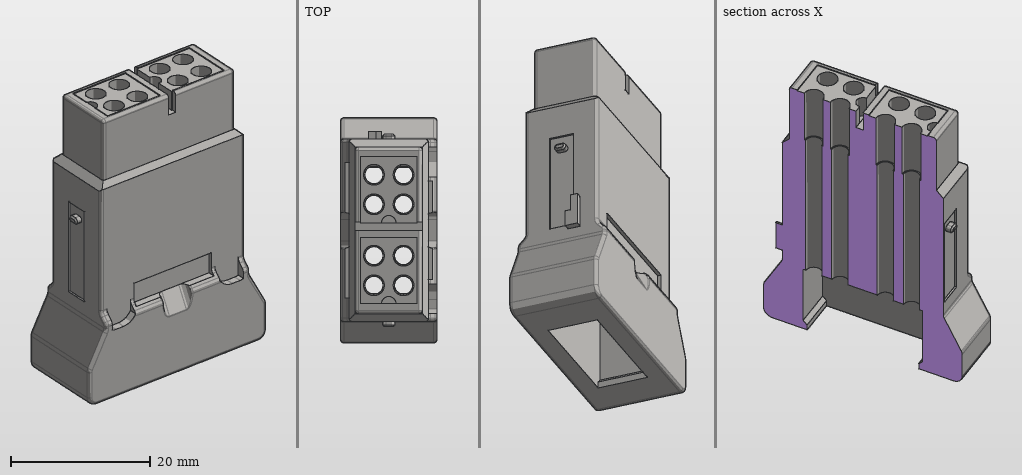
import cadquery as cq
import math

total_height = 45.3
base_x, base_y = 13.9, 32.4
body_x, body_y = 11.4, 26.27
plug_x, plug_y = 9.7, 24.0
plug_bottom = 35.4
shoulder_bottom = 12.7
shoulder_top = shoulder_bottom + (base_x - body_x) / 2
flare_bottom = 6.02
flare_top = 11.7

edge_radius = 0.5
shoulder_foot_radius = 1.0
shoulder_root_radius = 1.15
flare_radius = 1.25
base_corner_radius = 1.5

group_spacing = 11.65
group_center_y = 0.05
hole_pitch = 4.25
hole_diameter = 3.0
hole_depth = 9.05
bore_diameter = 2.6
inset_x, inset_y, inset_depth = 8.1, 9.55, 0.15
notch_radius, notch_depth = 1.05, 3.62
slot_width, slot_depth, slot_overlap = 1.25, 3.25, 0.15

cable_x = 7.7
cable_lip_half, cable_half = 9.05, 9.7
cable_lip_height = 1.0
cable_top = 11.32

window_bottom, window_top = 13.3, 16.9
window_depth = 0.55
window_floor_x = body_x / 2 - window_depth
left_window_y, right_window_y = 19.5, 14.15
scoop_exit_z = 9.95
scoop_half_width = 2.55
scoop_corner_radius = 1.0
scoop_lip_radius = 0.23
groove_inner_y, groove_outer_y = 7.7, 11.95
groove_floor_z = 11.32
groove_inner_radius, groove_outer_radius = 5.1 / 2, 3.7 / 2
groove_floor_start, groove_floor_end = 9.9, 11.32

recess_x, recess_bottom, recess_top, recess_depth = 3.7, 14.22, 29.2, 0.3
pin_length, pin_height, pin_z = 1.75, 1.05, 27.2
pin_tip_y = 13.85
pin_edge = 0.25

key_left, key_step, key_right = -2.95, -1.85, -1.05
key_bottom, key_top, key_tip_y = 13.6, 18.5, 14.2

match_tolerance = 0.05


def box(x0, x1, y0, y1, z0, z1):
    return cq.Workplane("XY").box(x1 - x0, y1 - y0, z1 - z0, centered=False).translate((x0, y0, z0))


def mirrored_outline(plane, half_points):
    """Closed face outline from one side's points, mirrored about the Z axis."""
    mirrored = [(-u, v) for u, v in reversed(half_points)]
    return cq.Workplane(plane).polyline(half_points + mirrored).close()


def round_corners(prism, axis, half_width, height, radius):
    """Round the mirrored pair of prism edges parallel to axis at +-half_width and the given height."""
    along_y = axis == "Y"

    def is_corner(edge):
        center = edge.Center()
        side = abs(center.x if along_y else center.y)
        return math.hypot(side - half_width, center.z - height) < match_tolerance

    return prism.newObject([e for e in prism.edges().vals() if is_corner(e)]).fillet(radius)


def make_housing():
    broad = mirrored_outline("YZ", [
        (base_y / 2, 0),
        (base_y / 2, flare_bottom),
        (body_y / 2, flare_top),
        (body_y / 2, plug_bottom),
    ]).extrude(base_x / 2, both=True)
    broad = round_corners(broad, "X", base_y / 2, 0, base_corner_radius)
    broad = round_corners(broad, "X", base_y / 2, flare_bottom, flare_radius)
    broad = round_corners(broad, "X", body_y / 2, flare_top, flare_radius)

    narrow = mirrored_outline("XZ", [
        (base_x / 2, 0),
        (base_x / 2, shoulder_bottom),
        (body_x / 2, shoulder_top),
        (body_x / 2, plug_bottom),
    ]).extrude(base_y / 2, both=True)
    narrow = round_corners(narrow, "Y", base_x / 2, shoulder_bottom, shoulder_foot_radius)
    narrow = round_corners(narrow, "Y", body_x / 2, shoulder_top, shoulder_root_radius)
    housing = broad.intersect(narrow)

    def is_rim(edge):
        center = edge.Center()
        on_broad_face = abs(center.x) > match_tolerance
        runs_along_y = abs(center.y) < match_tolerance
        return on_broad_face and (not runs_along_y or center.z < match_tolerance)

    rim = [e for e in housing.edges().vals() if is_rim(e)]
    housing = housing.newObject(rim).fillet(edge_radius)

    bevel = cq.Workplane("XY").rect(plug_x + 2 * plug_bottom, plug_y + 2 * plug_bottom)
    bevel = bevel.extrude(plug_bottom, taper=45)
    plug = box(-plug_x / 2, plug_x / 2, -plug_y / 2, plug_y / 2, shoulder_top, total_height)
    plug = plug.edges("|Z or >Z").fillet(edge_radius)
    return housing.intersect(bevel).union(plug)


def cut_plug_face(part):
    """Two groups of four stepped contact holes, each in a shallow inset with a half-round notch."""
    for side in (-1, 1):
        center_y = group_center_y + side * group_spacing / 2
        face = cq.Workplane("XY", origin=(0, center_y, total_height))
        part = part.cut(face.rect(inset_x, inset_y).extrude(-inset_depth))

        centers = face.rarray(hole_pitch, hole_pitch, 2, 2)
        part = part.cut(centers.circle(hole_diameter / 2).extrude(-hole_depth))
        part = part.cut(centers.circle(bore_diameter / 2).extrude(cable_top - total_height))

        notch = face.center(0, -inset_y / 2).circle(notch_radius).extrude(-notch_depth)
        under_inset = face.rect(inset_x, inset_y).extrude(-notch_depth)
        part = part.cut(notch.intersect(under_inset))
    return part


def cut_plug_slot(part):
    """Slot across the plug, a little narrower where the +Y inset stands into it."""
    inset_end_y = group_center_y + (group_spacing - inset_y) / 2
    slot_end_y = inset_end_y + slot_overlap
    slot = box(-plug_x, plug_x, slot_end_y - slot_width, slot_end_y, total_height - slot_depth, total_height)
    standing = box(-inset_x / 2, inset_x / 2, inset_end_y, slot_end_y, 0, total_height)
    return part.cut(slot.cut(standing))


def cut_cable_opening(part):
    """Pocket up through the base whose ends flare out above a straight lip."""
    flare = cable_half - cable_lip_half
    opening = mirrored_outline("YZ", [
        (cable_lip_half, 0),
        (cable_lip_half, cable_lip_height),
        (cable_half, cable_lip_height + flare),
        (cable_half, cable_top),
    ]).extrude(cable_x / 2, both=True)
    return part.cut(opening)


def cut_windows(part):
    for side, width in ((-1, left_window_y), (1, right_window_y)):
        window = box(window_floor_x, base_x / 2, -width / 2, width / 2, window_bottom, window_top)
        part = part.cut(window if side > 0 else window.mirror("YZ"))
    return part


def cut_scoops(part):
    """Sloped round-cornered channel running down from each window out through the base face."""
    run = base_x / 2 - window_floor_x
    drop = window_bottom - scoop_exit_z
    length = math.hypot(run, drop)
    floor = cq.Plane(
        origin=(window_floor_x, 0, window_bottom),
        xDir=(0, 1, 0),
        normal=(run / length, 0, -drop / length),
    )
    channel = (
        cq.Workplane(floor)
        .moveTo(-scoop_half_width, drop)
        .lineTo(-scoop_half_width, scoop_corner_radius)
        .radiusArc((scoop_corner_radius - scoop_half_width, 0), -scoop_corner_radius)
        .lineTo(scoop_half_width - scoop_corner_radius, 0)
        .radiusArc((scoop_half_width, scoop_corner_radius), -scoop_corner_radius)
        .lineTo(scoop_half_width, drop)
        .close()
        .extrude(2 * length)
    )
    part = part.cut(channel).cut(channel.mirror("YZ"))
    return part.faces("<X or >X").edges("%ELLIPSE").fillet(scoop_lip_radius)


def cut_finger_grooves(part):
    """Two dished grooves across the +X shoulder."""

    def arc_rise(radius, run):
        return radius - math.sqrt(radius**2 - run**2)

    inner_run = groove_floor_start - groove_inner_y
    outer_run = groove_outer_y - groove_floor_end
    inner_z = groove_floor_z + arc_rise(groove_inner_radius, inner_run)
    outer_z = groove_floor_z + arc_rise(groove_outer_radius, outer_run)
    groove = (
        cq.Workplane("YZ", origin=(body_x / 2, 0, 0))
        .moveTo(groove_inner_y, plug_bottom / 2)
        .lineTo(groove_inner_y, inner_z)
        .radiusArc((groove_floor_start, groove_floor_z), -groove_inner_radius)
        .lineTo(groove_floor_end, groove_floor_z)
        .radiusArc((groove_outer_y, outer_z), -groove_outer_radius)
        .lineTo(groove_outer_y, plug_bottom / 2)
        .close()
        .extrude(base_x)
    )
    return part.cut(groove).cut(groove.mirror("XZ"))


def add_end_pins(part):
    floor_y = body_y / 2 - recess_depth
    recess = box(-recess_x / 2, recess_x / 2, floor_y, body_y / 2, recess_bottom, recess_top)
    pin = (
        cq.Workplane("XZ", origin=(0, pin_tip_y, pin_z))
        .slot2D(pin_length, pin_height)
        .extrude(pin_tip_y - floor_y)
        .faces(">Y")
        .chamfer(pin_edge)
    )
    part = part.cut(recess).cut(recess.mirror("XZ"))
    return part.union(pin).union(pin.mirror("XZ"))


def add_key(part):
    root_y = body_y / 2 - edge_radius
    key_middle = (key_bottom + key_top) / 2
    tall = box(key_left, key_step, root_y, key_tip_y, key_bottom, key_top)
    short = box(key_step, key_right, root_y, key_tip_y, key_bottom, key_middle)
    return part.union(tall).union(short)


result = make_housing()
result = cut_cable_opening(result)
result = cut_plug_face(result)
result = cut_plug_slot(result)
result = cut_windows(result)
result = cut_scoops(result)
result = cut_finger_grooves(result)
result = add_end_pins(result)
result = add_key(result)